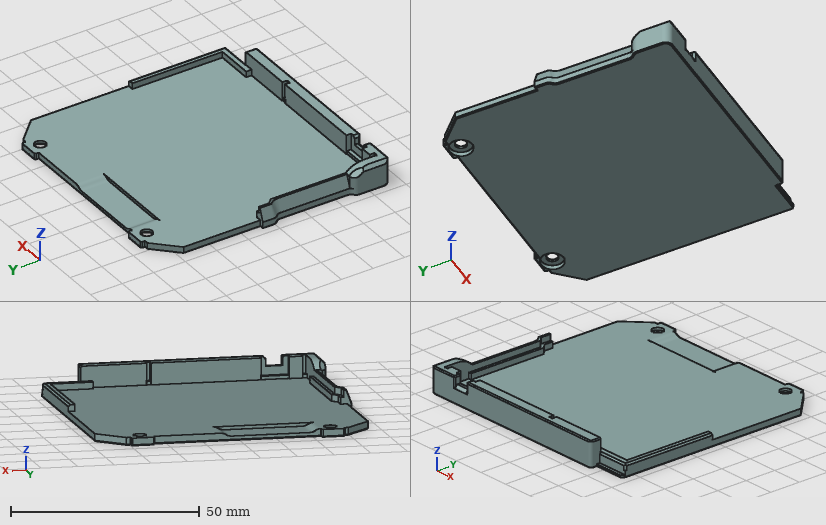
import cadquery as cq
import math

length = 75.8
depth = 73.0
height = 8.0

plate_t = 2.1
plate_left = 1.2
plate_rear = 71.8
rear_chamfer = 7.0
front_end = 65.4
front_left_r = 2.1
front_right_r = 1.0
bottom_chamfer = 0.3

tab_starts = (9.3, 61.25)
tab_w = 6.45
tab_chamfer = 0.4
hole_d = 3.4
hole_xs = (12.5, 64.5)
hole_y = 69.1
bore_d = 6.7
hole_rim = 0.75

pocket_left = 15.8
pocket_right = 43.05
pocket_front = 63.0
pocket_drop = 0.9
ramp = 2.95

wall_inner = 3.6
wall_chamfer = 0.4
recess_front = 2.05
recess_rear = 3.3
recess_floor = 3.0
relief_w = 1.2
relief_starts = (3.6, 46.2)
slot_left = 8.4
slot_right = 16.15

notch_left = 9.9
notch_right = 14.5
notch_left_chamfer = 0.4
notch_right_chamfer = 0.7
notch_front_z = 4.55
notch_floor_z = 5.45
notch_slope = 1.05

block_flat_end = 6.2
block_jog = 10.5
block_chamfer = 1.05
jog_edge_z = 5.6

left_wall_top = 5.8
left_wall_end = 40.5
left_step = 1.45
block_end = block_jog + left_step
jog_rear = 36.2
jog_front = jog_rear - left_step
outer_lean = 1.45
crest_w = 0.7
ledge_w = 0.9
ledge_z = 3.95
jog_r = 2.05

right_top = 3.95
right_wall_t = 1.8
right_wall_end = 33.8
right_front = 3.2
right_inner = 5.3
right_left = 62.4
right_chamfer = 0.5
flange_t = 0.8
flange_front = 2.1
flange_chamfer = 0.75


def box(x0, x1, y0, y1, z0, z1):
    return cq.Workplane("XY").box(x1 - x0, y1 - y0, z1 - z0, centered=False).translate((x0, y0, z0))


def prism(points, z0, z1):
    return cq.Workplane("XY").workplane(offset=z0).polyline(points).close().extrude(z1 - z0)


def side_prism(points, x0, x1):
    """Extrude a (Y, Z) outline along X."""
    return cq.Workplane("YZ").workplane(offset=x0).polyline(points).close().extrude(x1 - x0)


def front_prism(points, y0, y1):
    """Extrude an (X, Z) outline along Y."""
    return cq.Workplane("XZ").workplane(offset=-y0).polyline(points).close().extrude(y0 - y1)


def fillet_corner(solid, x, y, radius):
    """Round the upright edge that stands at (x, y)."""
    reach = 0.4
    near = cq.selectors.BoxSelector((x - reach, y - reach, 0), (x + reach, y + reach, height))
    return solid.edges("|Z").edges(near).fillet(radius)


def make_base():
    outline = [(0, 0), (0, block_jog), (left_step, block_end), (left_step, jog_front)]
    outline += [(0, jog_rear), (0, left_wall_end), (plate_left, left_wall_end)]
    outline += [(plate_left, plate_rear - rear_chamfer), (plate_left + rear_chamfer, plate_rear)]
    for start in tab_starts:
        end = start + tab_w
        outline += [(start, plate_rear), (start, depth - tab_chamfer), (start + tab_chamfer, depth)]
        outline += [(end - tab_chamfer, depth), (end, depth - tab_chamfer), (end, plate_rear)]
    outline += [(length - rear_chamfer, plate_rear), (length, plate_rear - rear_chamfer)]
    outline += [(length, flange_front + flange_chamfer), (length - flange_chamfer, flange_front)]
    outline += [(front_end, flange_front), (front_end, 0)]
    base = prism(outline, 0, plate_t)
    rounded = [(0, 0, front_left_r), (front_end, 0, front_right_r)]
    rounded += [(0, block_jog, jog_r), (left_step, block_end, jog_r)]
    rounded += [(left_step, jog_front, jog_r), (0, jog_rear, jog_r)]
    for x, y, radius in rounded:
        base = fillet_corner(base, x, y, radius)
    base = base.faces("<Z").edges().chamfer(bottom_chamfer)
    return base.cut(box(front_end, length, 0, right_front, flange_t, plate_t))


def make_front_wall():
    """Tall L-shaped wall: the long front run and the block on the left."""
    outline = [(0, 0), (front_end, 0), (front_end, wall_inner), (wall_inner, wall_inner)]
    outline += [(wall_inner, block_end), (left_step, block_end), (0, block_jog)]
    wall = prism(outline, plate_t, height)
    for x, y, radius in ((0, 0, front_left_r), (front_end, 0, front_right_r), (0, block_jog, jog_r)):
        wall = fillet_corner(wall, x, y, radius)

    fall_run = block_end - block_flat_end
    fall = height - left_wall_top
    fall_r = (fall_run ** 2 + fall ** 2) / (2 * fall)
    mid_run = fall_run / 2
    mid_fall = fall_r - (fall_r ** 2 - mid_run ** 2) ** 0.5
    above_fall = (
        cq.Workplane("YZ").moveTo(block_flat_end, height)
        .threePointArc((block_flat_end + mid_run, height - mid_fall), (block_end, left_wall_top))
        .lineTo(block_end, height).close().extrude(wall_inner)
    )
    front_edge = side_prism(
        [(0, height - wall_chamfer), (wall_chamfer, height), (0, height)], 0, front_end)
    left_edge = front_prism(
        [(0, height - block_chamfer), (block_chamfer, height), (0, height)], 0, block_end)
    right_edge = front_prism(
        [(front_end - wall_chamfer, height), (front_end, height - wall_chamfer), (front_end, height)],
        0, wall_inner)
    rise = height - jog_edge_z
    jog_edge = (
        side_prism([(0, 0), (-rise, rise), (0, rise)], -wall_inner, 2 * wall_inner)
        .rotate((0, 0, 0), (0, 0, 1), 45).translate((0, block_jog, jog_edge_z))
    )
    return wall.cut(jog_edge).cut(above_fall).cut(front_edge).cut(left_edge).cut(right_edge)


def left_wall_section(outer_inset, inner_inset, z):
    """Wall outline at height z, with its two sides at constant insets from the plate edge.

    The outer 45-degree jog is rounded about fixed centres, so its arcs become cones up the wall.
    """
    corner_shift = math.tan(math.pi / 8)
    rear_y = jog_rear + jog_r * corner_shift
    front_y = jog_front - jog_r * corner_shift
    rear_r = jog_r - outer_inset
    front_r = jog_r + outer_inset

    def rear_arc(angle):
        return cq.Vector(jog_r - rear_r * math.cos(angle), rear_y - rear_r * math.sin(angle), z)

    def front_arc(angle):
        centre_x = left_step - jog_r
        return cq.Vector(centre_x + front_r * math.cos(angle), front_y + front_r * math.sin(angle), z)

    half, full = math.pi / 8, math.pi / 4
    inner_shift = inner_inset * corner_shift
    straight = [(left_step + outer_inset, block_jog), (left_step + inner_inset, block_jog)]
    straight += [(left_step + inner_inset, jog_front + inner_shift)]
    straight += [(inner_inset, jog_rear + inner_shift), (inner_inset, left_wall_end)]
    straight += [(outer_inset, left_wall_end)]
    corners = [front_arc(0)] + [cq.Vector(x, y, z) for x, y in straight] + [rear_arc(0)]
    edges = [cq.Edge.makeLine(start, end) for start, end in zip(corners, corners[1:])]
    edges.append(cq.Edge.makeThreePointArc(rear_arc(0), rear_arc(half), rear_arc(full)))
    edges.append(cq.Edge.makeLine(rear_arc(full), front_arc(full)))
    edges.append(cq.Edge.makeThreePointArc(front_arc(full), front_arc(half), front_arc(0)))
    return cq.Wire.assembleEdges(edges)


def make_left_wall():
    crest_inner = outer_lean + crest_w
    ledge_inner = crest_inner + ledge_w
    foot = left_wall_section(0, crest_inner, plate_t)
    crest = left_wall_section(outer_lean, crest_inner, left_wall_top)
    ledge_foot = left_wall_section(outer_lean, ledge_inner, plate_t)
    ledge_top = left_wall_section(outer_lean, ledge_inner, ledge_z)
    wall = cq.Workplane(obj=cq.Solid.makeLoft([foot, crest], True))
    return wall.union(cq.Workplane(obj=cq.Solid.makeLoft([ledge_foot, ledge_top], True)))


def make_right_wall():
    side = box(length - right_wall_t, length, right_front, right_wall_end, flange_t, right_top)
    front = box(right_left, length, right_front, right_inner, flange_t, right_top)
    wall = side.union(front).edges("|Z and >X and <Y").chamfer(right_chamfer)
    low = right_top - right_chamfer
    outer_edge = front_prism(
        [(length - right_chamfer, right_top), (length, low), (length, right_top)],
        right_front, right_wall_end)
    front_edge = side_prism(
        [(right_front, low), (right_front + right_chamfer, right_top), (right_front, right_top)],
        front_end, length)
    return wall.cut(outer_edge).cut(front_edge)


def recess(x0, x1):
    """Pocket in the inner face of the front wall, with a ledge above the plate."""
    upper = box(x0, x1, recess_front, wall_inner, recess_floor, height)
    return upper.union(box(x0, x1, recess_rear, wall_inner, plate_t, height))


def make_notch():
    profile = [(0, notch_front_z), (notch_slope, notch_floor_z), (recess_front, notch_floor_z)]
    profile += [(recess_front, height), (0, height)]
    notch = side_prism(profile, notch_left, notch_right)
    ends = ((notch_left, -notch_left_chamfer), (notch_right, notch_right_chamfer))
    for x, flare in ends:
        size = abs(flare)
        top_edge = front_prism(
            [(x, height - size), (x + flare, height), (x, height)], 0, recess_front)
        outer_edge = prism([(x, size), (x + flare, 0), (x, 0)], notch_front_z, height)
        notch = notch.union(top_edge).union(outer_edge)
    return notch


def make_pocket():
    floor = plate_t - pocket_drop
    mid = plate_t - pocket_drop / 2
    ramp_mid = ramp / 2
    arc_r = (ramp ** 2 + pocket_drop ** 2) / (4 * pocket_drop)
    quarter = ramp / 4
    sag = arc_r - (arc_r ** 2 - quarter ** 2) ** 0.5
    return (
        cq.Workplane("XZ").workplane(offset=-pocket_front)
        .moveTo(pocket_left, plate_t)
        .threePointArc((pocket_left + quarter, plate_t - sag), (pocket_left + ramp_mid, mid))
        .threePointArc((pocket_left + ramp - quarter, floor + sag), (pocket_left + ramp, floor))
        .lineTo(pocket_right - ramp, floor)
        .threePointArc((pocket_right - ramp + quarter, floor + sag), (pocket_right - ramp_mid, mid))
        .threePointArc((pocket_right - quarter, plate_t - sag), (pocket_right, plate_t))
        .close().extrude(pocket_front - depth)
    )


body = make_base().union(make_front_wall()).union(make_left_wall()).union(make_right_wall())
body = body.cut(recess(slot_left, slot_right))
for relief_start in relief_starts:
    body = body.cut(recess(relief_start, relief_start + relief_w))
body = body.cut(make_notch()).cut(make_pocket())
hole_centres = cq.Workplane("XY").pushPoints([(x, hole_y) for x in hole_xs])
holes = hole_centres.circle(hole_d / 2).extrude(plate_t)
bores = hole_centres.circle(bore_d / 2).extrude(plate_t - hole_rim)
result = body.cut(holes).cut(bores)